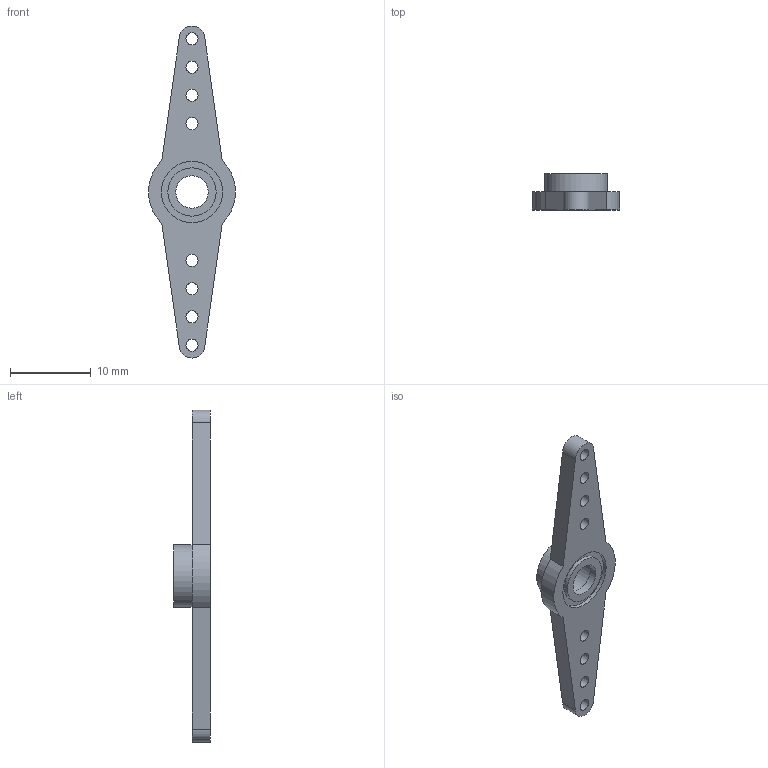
import cadquery as cq
import math

plate_thickness = 2.25
total_depth = 4.5
hub_diameter = 10.8

tip_radius = 1.6
tip_center_z = 19.0
arm_root_width = 7.5
hub_radius = hub_diameter / 2
arm_root_x = arm_root_width / 2
arm_root_z = math.sqrt(hub_radius**2 - arm_root_x**2)

link_hole_diameter = 1.5
link_hole_pitch = 3.5
link_holes_per_arm = 4

collar_diameter = 7.76
bore_diameter = 4.02
socket_diameter = 5.0
socket_depth = 3.5
groove_outer_diameter = 7.6
groove_inner_diameter = 6.0
groove_depth = 0.5


def disc(diameter, start_y, length, center_z=0.0):
    """Cylinder along +Y from start_y, centred on X = 0 at height center_z."""
    base = cq.Workplane("XZ", origin=(0, start_y, 0)).center(0, center_z)
    return base.circle(diameter / 2).extrude(-length)


def arm_plate():
    """Double-ended tapered plate with rounded tips, joined to the round hub."""
    outline = (
        cq.Workplane("XZ")
        .moveTo(arm_root_x, arm_root_z)
        .lineTo(tip_radius, tip_center_z)
        .threePointArc((0, tip_center_z + tip_radius), (-tip_radius, tip_center_z))
        .lineTo(-arm_root_x, arm_root_z)
        .threePointArc((-hub_radius, 0), (-arm_root_x, -arm_root_z))
        .lineTo(-tip_radius, -tip_center_z)
        .threePointArc((0, -tip_center_z - tip_radius), (tip_radius, -tip_center_z))
        .lineTo(arm_root_x, -arm_root_z)
        .threePointArc((hub_radius, 0), (arm_root_x, arm_root_z))
        .close()
    )
    return outline.extrude(-plate_thickness)


def cut_link_holes(body):
    """Row of through holes on both arms."""
    for index in range(link_holes_per_arm):
        offset = tip_center_z - index * link_hole_pitch
        for center_z in (offset, -offset):
            body = body.cut(disc(link_hole_diameter, 0, plate_thickness, center_z))
    return body


def cut_hub_bore(body):
    """Through bore, widened to a socket from the collar end."""
    bore = disc(bore_diameter, 0, total_depth)
    socket = disc(socket_diameter, total_depth - socket_depth, socket_depth)
    return body.cut(bore).cut(socket)


def cut_front_groove(body):
    """Ring-shaped groove in the front face around the bore."""
    core = disc(groove_inner_diameter, 0, groove_depth)
    return body.cut(disc(groove_outer_diameter, 0, groove_depth).cut(core))


collar = disc(collar_diameter, 0, total_depth)
result = arm_plate().union(collar)
result = cut_link_holes(result)
result = cut_hub_bore(result)
result = cut_front_groove(result)